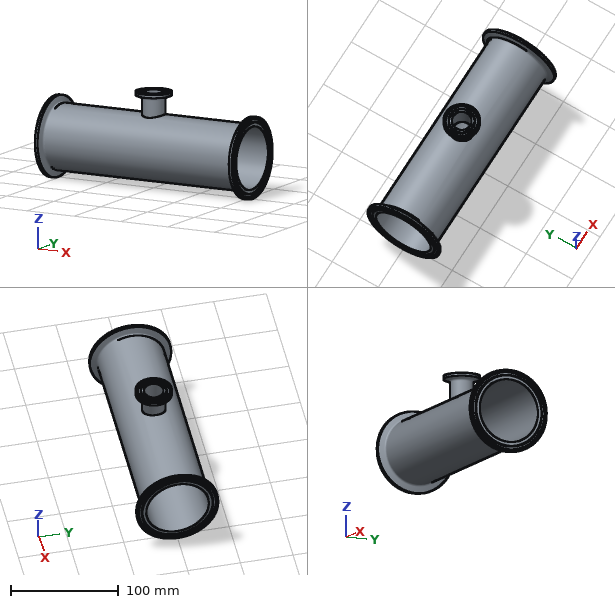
import cadquery as cq
import math

run_length = 210.0
run_outer_radius = 63.5 / 2
run_bore_radius = 59.5 / 2
run_flange_radius = 77.5 / 2
run_groove_radius = 35.3

overall_height = 91.4
branch_top = overall_height - run_flange_radius
branch_outer_radius = 22.3 / 2
branch_bore_radius = 18.5 / 2
branch_flange_radius = 34.0 / 2
branch_groove_radius = 13.6

rim_thickness = 3.0
back_angle = math.radians(20)
neck_fillet = 2.0
groove_half_width = 1.9
groove_floor_half_width = 1.3
groove_wall_depth = 0.6
groove_depth = 1.7


def clamp_flange(tube_radius, flange_radius, groove_radius):
    """Solid clamp flange on Z: sealing face at z = 0, ending below where its neck meets the tube."""
    cone_height = (flange_radius - tube_radius) * math.tan(back_angle)
    neck_z = -(rim_thickness + cone_height)

    tangent_length = neck_fillet * math.tan((math.pi / 2 - back_angle) / 2)
    arc_centre = (tube_radius + neck_fillet, neck_z - tangent_length)
    cone_tangent = (
        tube_radius + tangent_length * math.cos(back_angle),
        neck_z + tangent_length * math.sin(back_angle),
    )
    middle_angle = (math.pi + math.pi / 2 + back_angle) / 2
    arc_middle = (
        arc_centre[0] + neck_fillet * math.cos(middle_angle),
        arc_centre[1] + neck_fillet * math.sin(middle_angle),
    )

    profile = (
        cq.Workplane("XZ")
        .moveTo(0, 0)
        .lineTo(groove_radius - groove_half_width, 0)
        .lineTo(groove_radius - groove_floor_half_width, -groove_wall_depth)
        .threePointArc(
            (groove_radius, -groove_depth),
            (groove_radius + groove_floor_half_width, -groove_wall_depth),
        )
        .lineTo(groove_radius + groove_half_width, 0)
        .lineTo(flange_radius, 0)
        .lineTo(flange_radius, -rim_thickness)
        .lineTo(*cone_tangent)
        .threePointArc(arc_middle, (tube_radius, arc_centre[1]))
        .lineTo(0, arc_centre[1])
        .close()
    )
    return profile.revolve(360, (0, 0, 0), (0, 1, 0))


half_length = run_length / 2
tube_half_length = half_length - rim_thickness
run_tube = (
    cq.Workplane("YZ")
    .workplane(offset=-tube_half_length)
    .circle(run_outer_radius)
    .extrude(2 * tube_half_length)
)
right_flange = (
    clamp_flange(run_outer_radius, run_flange_radius, run_groove_radius)
    .rotate((0, 0, 0), (0, 1, 0), 90)
    .translate((half_length, 0, 0))
)
left_flange = right_flange.mirror("YZ")
run = run_tube.union(right_flange).union(left_flange)

branch_tube = cq.Workplane("XY").circle(branch_outer_radius).extrude(branch_top - rim_thickness)
branch_flange = clamp_flange(branch_outer_radius, branch_flange_radius, branch_groove_radius)
branch = branch_tube.union(branch_flange.translate((0, 0, branch_top)))

run_bore = (
    cq.Workplane("YZ")
    .workplane(offset=-half_length)
    .circle(run_bore_radius)
    .extrude(run_length)
)
branch_bore = cq.Workplane("XY").circle(branch_bore_radius).extrude(branch_top)

result = run.union(branch).cut(run_bore).cut(branch_bore).clean()